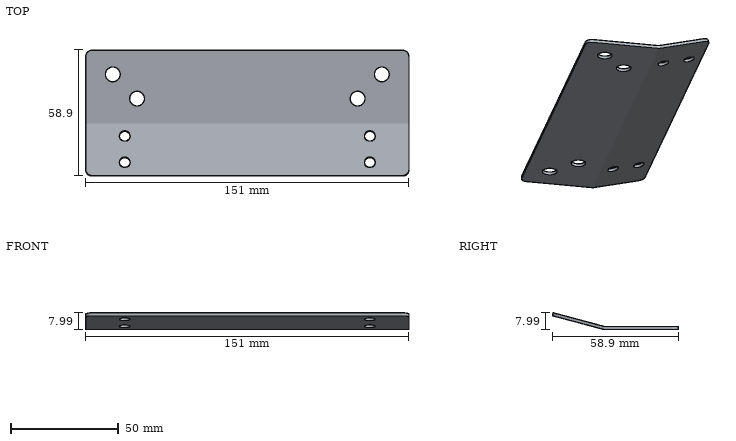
import cadquery as cq
import math

length = 151.0
depth = 58.9
thickness = 1.5
bend_angle = 15.0
flat_depth = 34.5
corner_radius = 3.0

flat_hole_diameter = 6.8
flat_hole_places = [(62.8, 11.3), (51.5, 22.6)]

wing_hole_diameter = 5.0
wing_hole_offset = 57.2
wing_hole_distances = [6.0, 18.7]

angle = math.radians(bend_angle)
wing_length = (depth - flat_depth) / math.cos(angle)
miter = thickness * math.tan(angle / 2)


def make_wing(wing_depth, hole_diameter, hole_places):
    """Horizontal plate from the bend line at Y = 0 towards +Y.

    The bend edge is mitered; the outer corners are rounded.
    Hole places are (distance from mid-length, distance from the bend line).
    """
    profile = [(0, 0), (wing_depth, 0), (wing_depth, thickness), (miter, thickness)]
    wing = cq.Workplane("YZ").polyline(profile).close().extrude(length / 2, both=True)
    wing = wing.edges("|Z and >Y").fillet(corner_radius)
    points = [(side * x, y) for x, y in hole_places for side in (-1, 1)]
    holes = cq.Workplane("XY").pushPoints(points).circle(hole_diameter / 2).extrude(thickness)
    return wing.cut(holes)


flat_places = [(x, flat_depth - from_back) for x, from_back in flat_hole_places]
flat_wing = make_wing(flat_depth, flat_hole_diameter, flat_places)

raised_places = [(wing_hole_offset, distance) for distance in wing_hole_distances]
raised_wing = make_wing(wing_length, wing_hole_diameter, raised_places)
raised_wing = raised_wing.mirror("XZ").rotate((0, 0, 0), (1, 0, 0), -bend_angle)

result = flat_wing.union(raised_wing)